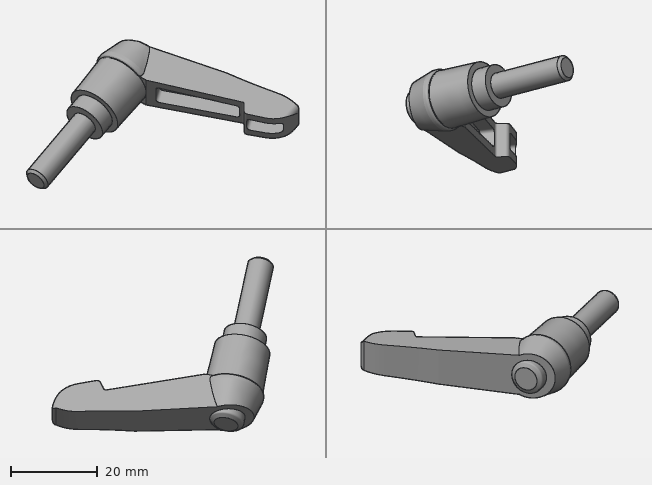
import cadquery as cq
import math


stud_dia = 6.0
stud_length = 20.0
stud_chamfer = 0.65
bushing_dia = 10.0
bushing_height = 4.0

body_bottom_radius = 6.52
body_top_radius = 6.85
collar_bottom_y = 15.1
collar_radius = 7.25
collar_lip_radius = 0.65
collar_height = 1.35
cone_angle = 14.0
cone_height = 9.0

button_dia = 8.0
button_top_y = 24.57
button_chamfer_height = 0.6
button_chamfer_width = 1.18
button_fillet = 0.5

arm_tip_x = 40.0
arm_top_y = 30.0
back_axis_y = 22.83
back_angle = 12.9
back_straight_end_x = 20.8
back_curve_end = (33.5, 29.74)
crown_x = 36.2
crown_end = (38.9, 29.64)
underside_angle = 20.0
notch_root_x = 28.78
notch_root_fillet = 0.55
notch_face_angle = 56.0
toe_x = 30.5
toe_fillet = 0.95
toe_angle = 21.0
tip_start_x = 35.25
tip_corner_y = 28.75

arm_axis_half_width = 5.13
arm_draft = 2.0
arm_corner_radius = 1.6

grip_pocket_start_x = 9.05
grip_pocket_end_x = 27.8
grip_pocket_half_width = 2.85
grip_pocket_depth = 3.5
toe_pocket_start_x = 31.1
toe_pocket_end_x = 38.95
toe_pocket_half_width = 2.1
toe_pocket_depth = 4.6
pocket_corner_radius = 0.9
pocket_overrun = 0.5


def slope(angle):
    return math.tan(math.radians(angle))


underside_start = (body_top_radius, collar_bottom_y)
notch_root = (notch_root_x, collar_bottom_y + (notch_root_x - body_top_radius) * slope(underside_angle))
toe = (toe_x, notch_root[1] - (toe_x - notch_root_x) * slope(notch_face_angle))


def back_y(x):
    return back_axis_y + x * slope(back_angle)


def make_stud_and_bushing():
    bushing = cq.Workplane("XZ").circle(bushing_dia / 2).extrude(-bushing_height)
    stud = cq.Workplane("XZ").circle(stud_dia / 2).extrude(stud_length)
    stud = stud.faces("<Y").chamfer(stud_chamfer)
    return bushing.union(stud)


def make_hub():
    cone_start_y = collar_bottom_y + collar_height
    cone_top_radius = collar_radius - cone_height * slope(cone_angle)
    lip_start_radius = collar_radius - collar_lip_radius
    hub = (
        cq.Workplane("XY")
        .moveTo(0, bushing_height)
        .lineTo(body_bottom_radius, bushing_height)
        .lineTo(body_top_radius, collar_bottom_y)
        .lineTo(lip_start_radius, collar_bottom_y)
        .radiusArc((collar_radius, collar_bottom_y + collar_lip_radius), -collar_lip_radius)
        .lineTo(collar_radius, cone_start_y)
        .lineTo(cone_top_radius, cone_start_y + cone_height)
        .lineTo(0, cone_start_y + cone_height)
        .close()
        .revolve(360, (0, 0), (0, 1))
    )
    reach = 2 * collar_radius
    above_back = (
        cq.Workplane("XY")
        .moveTo(-reach, back_y(-reach))
        .lineTo(reach, back_y(reach))
        .lineTo(reach, 2 * arm_top_y)
        .lineTo(-reach, 2 * arm_top_y)
        .close()
        .extrude(reach, both=True)
    )
    return hub.cut(above_back)


def make_button():
    radius = button_dia / 2
    shoulder_y = button_top_y - button_chamfer_height
    shoulder_turn = math.atan2(button_chamfer_width, button_chamfer_height)
    shoulder_setback = button_fillet * math.tan(shoulder_turn / 2)
    round_end = (
        radius - shoulder_setback * math.sin(shoulder_turn),
        shoulder_y + shoulder_setback * math.cos(shoulder_turn),
    )
    return (
        cq.Workplane("XY")
        .moveTo(0, collar_bottom_y)
        .lineTo(radius, collar_bottom_y)
        .lineTo(radius, shoulder_y - shoulder_setback)
        .radiusArc(round_end, -button_fillet)
        .lineTo(radius - button_chamfer_width, button_top_y)
        .lineTo(0, button_top_y)
        .close()
        .revolve(360, (0, 0), (0, 1))
    )


def make_arm():
    tip_start_y = toe[1] + (tip_start_x - toe[0]) * slope(toe_angle)
    side = (
        cq.Workplane("XY")
        .moveTo(0, collar_bottom_y)
        .lineTo(*underside_start)
        .lineTo(*notch_root)
        .lineTo(*toe)
        .lineTo(tip_start_x, tip_start_y)
        .tangentArcPoint((arm_tip_x, tip_corner_y), relative=False)
        .tangentArcPoint(crown_end, relative=False)
        .threePointArc((crown_x, arm_top_y), back_curve_end)
        .tangentArcPoint((back_straight_end_x, back_y(back_straight_end_x)), relative=False)
        .lineTo(0, back_axis_y)
        .close()
        .extrude(collar_radius, both=True)
    )
    side = side.edges(cq.NearestToPointSelector((*notch_root, 0))).fillet(notch_root_fillet)
    side = side.edges(cq.NearestToPointSelector((*toe, 0))).fillet(toe_fillet)

    tip_half_width = arm_axis_half_width - arm_tip_x * slope(arm_draft)
    plan = (
        cq.Workplane("XZ")
        .moveTo(0, -arm_axis_half_width)
        .lineTo(arm_tip_x, -tip_half_width)
        .lineTo(arm_tip_x, tip_half_width)
        .lineTo(0, arm_axis_half_width)
        .close()
        .extrude(-2 * arm_top_y)
        .edges("|Y and >X")
        .fillet(arm_corner_radius)
    )
    return side.intersect(plan)


def make_pocket(line_point, angle, start_x, end_x, half_width, depth):
    """Tapered pocket sunk at right angles into the underside line through line_point."""
    turn = math.radians(angle)
    start_y = line_point[1] + (start_x - line_point[0]) * slope(angle)
    length = (end_x - start_x) / math.cos(turn)
    end_half_width = half_width - length * slope(arm_draft)
    mouth = cq.Plane(
        origin=(start_x, start_y, 0),
        xDir=(math.cos(turn), math.sin(turn), 0),
        normal=(-math.sin(turn), math.cos(turn), 0),
    )
    outline = [(0, -half_width), (length, -end_half_width), (length, end_half_width), (0, half_width)]
    pocket = cq.Workplane(mouth).workplane(offset=-pocket_overrun).polyline(outline).close()
    pocket = pocket.extrude(depth + pocket_overrun)
    return pocket.edges(cq.ParallelDirSelector(mouth.zDir)).fillet(pocket_corner_radius)


grip_pocket = make_pocket(
    underside_start,
    underside_angle,
    grip_pocket_start_x,
    grip_pocket_end_x,
    grip_pocket_half_width,
    grip_pocket_depth,
)
toe_pocket = make_pocket(
    toe,
    toe_angle,
    toe_pocket_start_x,
    toe_pocket_end_x,
    toe_pocket_half_width,
    toe_pocket_depth,
)

arm = make_arm().cut(grip_pocket).cut(toe_pocket)
result = make_hub().union(arm).union(make_button()).union(make_stud_and_bushing())